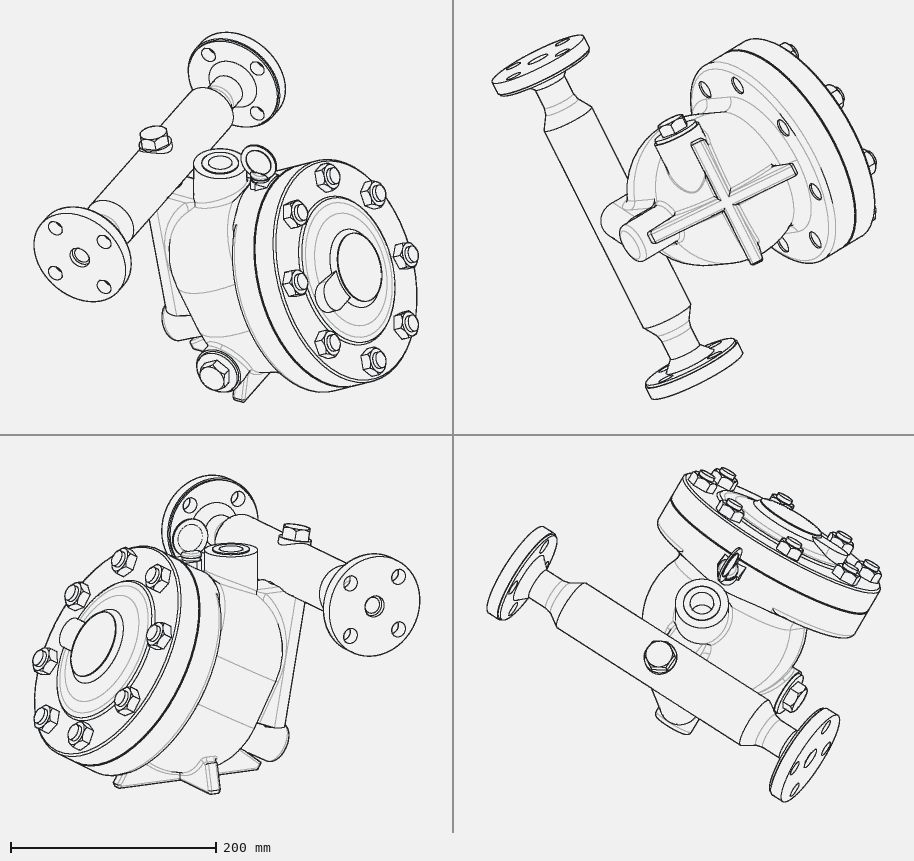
import cadquery as cq
import math


header_length = 350.0
header_dia = 52.0
pipe_dia = 32.0
pipe_end_dia = 35.5
pipe_flange_dia = 100.0
pipe_flange_thickness = 12.5
pipe_flange_step = 2.5
pipe_flange_step_dia = 97.0
hub_length = 11.0
header_half_straight = 109.0
reducer_length = 13.0
collar_length = 7.0
pipe_bolt_circle = 75.0
pipe_bolt_hole_dia = 15.0
socket_dia = 21.0
socket_depth = 5.0
pipe_bore_dia = 16.0
pipe_bore_depth = 60.0

plug_across_flats = 26.0
header_plug_seat_dia = 32.0
header_plug_seat_height = 27.5
header_plug_height = 39.0

leg_dia = 39.0
leg_tilt = 10.3
leg_length = 158.0
web_width = leg_dia
web_top_z = -15.0
web_top_fillet = 4.0
web_root_fillet = 8.5

body_tilt = 28.0
body_radius = 74.0
body_half_straight = 25.2
body_centre_x = 104.5
body_centre_z = -95.8

inlet_boss_dia = 40.0
inlet_boss_offset = 30.0
inlet_boss_reach = 118.5
inlet_boss_fillet = 4.5
inlet_root_fillet = 4.0

flange_tilt = 30.0
flange_dia = 222.0
gasket_centre_x = 181.2
gasket_centre_z = -73.2
body_flange_thickness = 30.0
body_flange_back_fillet = 5.0
gasket_thickness = 1.0
gasket_dia = 220.5
neck_fillet = 10.0
neck_root_radius = 76.0
neck_root_offset = -18.0

cover_thickness = 25.7
cover_edge_chamfer = 2.0
cover_step_radius = 74.0
cover_step_inset = 2.0
cover_step_height = 2.5
crown_foot_radius = 67.0
crown_foot_height = 3.0
crown_bend_radius = 56.0
crown_bend_height = 5.5
crown_top_radius = 39.0
crown_top_height = 11.0
cover_hub_radius = 34.0
cover_hub_height = 17.0
cover_hub_rise = 1.0
arm_width = 31.0
arm_reach = 68.0
arm_height = 14.5

stud_count = 8
stud_pitch = 360 / stud_count
stud_circle = 185.0
stud_dia = 16.0
stud_hole_dia = 18.0
stud_hole_depth = 2.0
nut_across_flats = 24.0
nut_height = 10.5
stud_protrusion = 14.5

outlet_x = 65.9
outlet_dia = 52.0
outlet_top_z = 24.0
outlet_face_dia = 36.0
outlet_face_height = 1.2
outlet_bore_dia = 23.0
outlet_bore_depth = 30.0
outlet_bottom_z = -60.0
outlet_root_fillet = 5.0

post_x = 110.0
post_dia = 20.0
post_bottom_z = -20.0
post_top_z = 27.8
post_rim_fillet = 2.0
post_groove_dia = 18.0
post_groove_bottom_z = 20.0
post_groove_top_z = 23.5
tag_dia = 38.0
tag_centre_x = 109.4
tag_centre_z = 40.9
tag_y = -3.0
tag_thickness = 2.0
tag_dish_dia = 27.0
tag_dish_depth = 0.8
post_pad_width = 25.0
post_pad_length = 14.5
post_pad_top_z = 20.6

drain_x = 102.2
drain_z = -163.0
drain_dia = 48.0
drain_reach = 76.5
drain_face_dia = 44.0
drain_face_height = 3.4
drain_plug_reach = 91.0
drain_root_fillet = 3.0

base_z = -200.0
foot_thickness = 13.0
foot_edge_fillet = 2.5
foot_tip_z = -196.0
foot_core_z = -145.0
foot_root_fillet = 3.0
base_corner = 2.0
long_foot_left_x = 37.0
long_foot_left_z = -193.0
long_foot_right_x = 193.5
long_foot_shoulder_x = 175.5
long_foot_shoulder_z = -167.0
long_foot_heel_x = 61.5
long_foot_heel_z = -172.6
cross_foot_x = 119.0
cross_foot_half_width = 68.0
cross_foot_half_top = 61.0
cross_foot_top_z = -170.0


def tilted_plane(tilt, centre_x, centre_z):
    """Plane whose normal rises `tilt` degrees from +X and whose local X runs down the slope."""
    rise = math.radians(tilt)
    return cq.Plane(
        origin=(centre_x, 0, centre_z),
        xDir=(math.sin(rise), 0, -math.cos(rise)),
        normal=(math.cos(rise), 0, math.sin(rise)),
    )


body_plane = tilted_plane(body_tilt, body_centre_x, body_centre_z)
flange_plane = tilted_plane(flange_tilt, gasket_centre_x, gasket_centre_z)
leg_plane = tilted_plane(90.0 + leg_tilt, 0, 0)


def turned(plane, profile):
    """Solid of revolution about the plane's normal from (radius, height) points."""
    section_plane = cq.Plane(origin=plane.origin, xDir=plane.xDir, normal=-plane.yDir)
    return cq.Workplane(section_plane).polyline(profile).close().revolve(360, (0, 0), (0, 1))


def disc(plane, diameter, bottom, top):
    """Cylinder about the plane's normal between two heights."""
    return cq.Workplane(plane).workplane(offset=bottom).circle(diameter / 2).extrude(top - bottom)


def hexagon(plane, across_flats, bottom, top, turn=0.0):
    """Hexagonal head with the corners of its top face turned down."""
    across_corners = across_flats / math.cos(math.radians(30))
    corner_drop = (across_corners - across_flats) / 2
    prism = (
        cq.Workplane(plane)
        .transformed(rotate=(0, 0, turn), offset=(0, 0, bottom))
        .polygon(6, across_corners)
        .extrude(top - bottom)
    )
    envelope = turned(
        plane,
        [
            (0, bottom),
            (across_corners / 2, bottom),
            (across_corners / 2, top - corner_drop),
            (across_flats / 2, top),
            (0, top),
        ],
    )
    return prism.intersect(envelope)


def make_header():
    """Header with a reducer, pipe, hub and flange at each end, and its bolt holes and sockets."""
    header = cq.Workplane("XZ").circle(header_dia / 2).extrude(header_half_straight, both=True)
    half_length = header_length / 2
    step_y = half_length - pipe_flange_thickness
    hub_y = step_y - pipe_flange_step
    pipe_y = hub_y - hub_length
    collar_y = header_half_straight + reducer_length
    for side in (-1, 1):
        end_plane = cq.Plane(origin=(0, 0, 0), xDir=(1, 0, 0), normal=(0, side, 0))
        end = turned(
            end_plane,
            [
                (0, 0),
                (header_dia / 2, 0),
                (header_dia / 2, header_half_straight),
                (pipe_end_dia / 2, collar_y),
                (pipe_dia / 2, collar_y + collar_length),
                (pipe_dia / 2, pipe_y),
                (header_dia / 2, hub_y),
                (pipe_flange_step_dia / 2, hub_y),
                (pipe_flange_step_dia / 2, step_y),
                (pipe_flange_dia / 2, step_y),
                (pipe_flange_dia / 2, half_length),
                (0, half_length),
            ],
        )
        holes = (
            cq.Workplane(end_plane)
            .workplane(offset=hub_y)
            .polarArray(pipe_bolt_circle / 2, 45, 360, 4)
            .circle(pipe_bolt_hole_dia / 2)
            .extrude(half_length - hub_y)
        )
        socket = disc(end_plane, socket_dia, half_length - socket_depth, half_length)
        bore = disc(end_plane, pipe_bore_dia, half_length - pipe_bore_depth, half_length)
        header = header.union(end.cut(holes).cut(socket).cut(bore))
    return header


def make_header_plug():
    """Round seat and hexagon plug on the leg axis, above the header."""
    seat = disc(leg_plane, header_plug_seat_dia, 0, header_plug_seat_height)
    head = hexagon(leg_plane, plug_across_flats, header_plug_seat_height, header_plug_height)
    return seat.union(head)


def make_leg():
    """Slanted pipe from the header down to the inlet boss."""
    return disc(leg_plane, leg_dia, -leg_length, 0)


def make_web():
    """Wall as wide as the leg that fills the gap between the leg and the body."""
    slope = math.radians(leg_tilt)
    foot_x = leg_length * math.sin(slope)
    foot_z = -leg_length * math.cos(slope)
    boss_start = body_plane.toWorldCoords((inlet_boss_offset, 0, 0))
    return (
        cq.Workplane("XZ")
        .polyline(
            [
                (-web_top_z * math.tan(slope), web_top_z),
                (body_centre_x, web_top_z),
                (boss_start.x, boss_start.z),
                (foot_x, foot_z),
            ]
        )
        .close()
        .extrude(web_width / 2, both=True)
        .faces(">Z")
        .edges("|X")
        .fillet(web_top_fillet)
    )


def make_body():
    """Capsule: a round bar closed by a hemisphere at each end."""
    tip = body_half_straight + body_radius
    diagonal = body_radius * math.sqrt(0.5)
    return (
        cq.Workplane(cq.Plane(origin=body_plane.origin, xDir=body_plane.xDir, normal=-body_plane.yDir))
        .moveTo(-tip, 0)
        .threePointArc((-body_half_straight - diagonal, diagonal), (-body_half_straight, body_radius))
        .lineTo(body_half_straight, body_radius)
        .threePointArc((body_half_straight + diagonal, diagonal), (tip, 0))
        .close()
        .revolve(360, (0, 0), (1, 0))
    )


def make_inlet_boss():
    """Round boss with a rounded rim, running from the body to the foot of the leg."""
    return (
        cq.Workplane(body_plane)
        .workplane(offset=-inlet_boss_reach)
        .center(inlet_boss_offset, 0)
        .circle(inlet_boss_dia / 2)
        .extrude(inlet_boss_reach)
        .faces(cq.DirectionMinMaxSelector(body_plane.zDir, False))
        .edges()
        .fillet(inlet_boss_fillet)
    )


def rooted(body, feature, radius):
    """Body with a round feature whose curved root on the body is filleted."""
    return body.union(feature).edges("%BSPLINE").fillet(radius)


def make_rooted_web(body):
    """Body with the web, both long root edges filleted up to the web's rounded top."""
    side = web_width / 2
    sides = cq.selectors.BoxSelector(
        (web_root_fillet, -side - 1, 2 * body_centre_z), (body_centre_x, side + 1, 0)
    )
    return body.union(make_web()).edges(sides).edges("%CIRCLE").fillet(web_root_fillet)


def make_neck(body):
    """Flare that blends the body onto the back of its flange, trimmed to the flange rim.

    Its oblong root runs on through the flange, so that the flare meets the rim unbroken.
    """
    back = -body_flange_thickness
    front = -gasket_thickness
    local = cq.Plane.XY()
    reach = 2 * body_radius
    root_edges = cq.selectors.BoxSelector((-reach, -reach, back - 1), (reach, reach, back + 1))
    flare = (
        cq.Workplane(body.val().moved(flange_plane.location.inverse))
        .union(disc(local, 3 * flange_dia, back, front))
        .edges(root_edges)
        .fillet(neck_fillet)
        .intersect(disc(local, flange_dia, back - 1.5 * neck_fillet, back))
    )
    root = (
        cq.Workplane(local)
        .workplane(offset=back)
        .center(neck_root_offset, 0)
        .slot2D(2 * (body_half_straight + neck_root_radius), 2 * neck_root_radius)
        .extrude(front - back)
        .intersect(disc(local, flange_dia, back, front))
    )
    return cq.Workplane(flare.union(root).val().moved(flange_plane.location))


def stud_plane(index):
    """Plane at a stud, level with the cover face; the studs straddle the slope line."""
    angle = math.radians((index + 0.5) * stud_pitch)
    x = stud_circle / 2 * math.cos(angle)
    y = stud_circle / 2 * math.sin(angle)
    origin = flange_plane.toWorldCoords((x, y, cover_thickness))
    return cq.Plane(origin=origin, xDir=flange_plane.xDir, normal=flange_plane.zDir)


def make_stud(index):
    """Nut turned with its place around the cover, and the stud end that stands out of it."""
    plane = stud_plane(index)
    nut = hexagon(plane, nut_across_flats, 0, nut_height, (index - 1) * stud_pitch)
    return nut.union(disc(plane, stud_dia, 0, stud_protrusion))


def make_stud_hole(index):
    """Shallow recess around the stud on the back of the body flange."""
    back = -cover_thickness - body_flange_thickness
    return disc(stud_plane(index), stud_hole_dia, back, back + stud_hole_depth)


def make_body_flange():
    """Body flange with a rounded back rim, its stud recesses and the gasket that lies on it."""
    flange = disc(flange_plane, flange_dia, -body_flange_thickness, -gasket_thickness / 2)
    back_face = cq.DirectionMinMaxSelector(flange_plane.zDir, False)
    flange = flange.faces(back_face).edges().fillet(body_flange_back_fillet)
    for index in range(stud_count):
        flange = flange.cut(make_stud_hole(index))
    gasket = disc(flange_plane, gasket_dia, -gasket_thickness, gasket_thickness)
    return flange.union(gasket)


def make_cover():
    """Cover disc with a raised crown, a round hub, an arm toward -Y, studs and nuts."""
    face = cover_thickness
    rim = flange_dia / 2
    cover = turned(
        flange_plane,
        [
            (0, gasket_thickness / 2),
            (rim, gasket_thickness / 2),
            (rim, face - cover_edge_chamfer),
            (rim - cover_edge_chamfer, face),
            (cover_step_radius, face),
            (cover_step_radius - cover_step_inset, face + cover_step_height),
            (crown_foot_radius, face + crown_foot_height),
            (crown_bend_radius, face + crown_bend_height),
            (crown_top_radius, face + crown_top_height),
            (cover_hub_radius, face + cover_hub_height - cover_hub_rise),
            (cover_hub_radius, face + cover_hub_height),
            (0, face + cover_hub_height),
        ],
    )
    straight = arm_reach - arm_width / 2
    arm = (
        cq.Workplane(flange_plane)
        .workplane(offset=face)
        .center(0, -straight / 2)
        .slot2D(straight + arm_width, arm_width, 90)
        .extrude(arm_height)
    )
    cover = cover.union(arm)
    for index in range(stud_count):
        cover = cover.union(make_stud(index))
    return cover


def make_outlet_boss():
    """Upright boss with a raised ring on its face."""
    plane = cq.Plane(origin=(outlet_x, 0, 0), xDir=(1, 0, 0), normal=(0, 0, 1))
    boss = disc(plane, outlet_dia, outlet_bottom_z, outlet_top_z)
    face = disc(plane, outlet_face_dia, outlet_top_z, outlet_top_z + outlet_face_height)
    return boss.union(face)


def make_outlet_bore():
    """Blind bore down through the face of the outlet boss."""
    plane = cq.Plane(origin=(outlet_x, 0, outlet_top_z), xDir=(1, 0, 0), normal=(0, 0, 1))
    return disc(plane, outlet_bore_dia, -outlet_bore_depth, outlet_face_height)


def make_tag():
    """Grooved post on the flange rim with its pad and the dished round tag."""
    plane = cq.Plane(origin=(post_x, 0, 0), xDir=(1, 0, 0), normal=(0, 0, 1))
    post = disc(plane, post_dia, post_bottom_z, post_top_z)
    post = post.faces(">Z").edges().fillet(post_rim_fillet)
    groove = disc(plane, post_dia, post_groove_bottom_z, post_groove_top_z)
    groove = groove.cut(disc(plane, post_groove_dia, post_groove_bottom_z, post_groove_top_z))
    pad = (
        cq.Workplane(plane)
        .center(post_pad_length / 2, 0)
        .rect(post_pad_length, post_pad_width)
        .extrude(post_pad_top_z)
    )
    tag_plane = cq.Plane(origin=(tag_centre_x, tag_y, tag_centre_z), xDir=(1, 0, 0), normal=(0, -1, 0))
    tag = disc(tag_plane, tag_dia, -tag_thickness / 2, tag_thickness / 2)
    dish = disc(tag_plane, tag_dish_dia, tag_thickness / 2 - tag_dish_depth, tag_thickness / 2)
    return post.cut(groove).union(pad).union(tag.cut(dish))


def make_drain():
    """Stepped drain boss toward -Y with a hexagon plug."""
    plane = cq.Plane(origin=(drain_x, 0, drain_z), xDir=(0, 0, 1), normal=(0, -1, 0))
    face_reach = drain_reach + drain_face_height
    boss = disc(plane, drain_dia, 0, drain_reach)
    face = disc(plane, drain_face_dia, drain_reach, face_reach)
    head = hexagon(plane, plug_across_flats, face_reach, drain_plug_reach)
    return boss.union(face).union(head)


def long_foot_blank():
    """Outline of the plate along X, from under the inlet boss to below the flange."""
    return (
        cq.Workplane("XZ")
        .polyline(
            [
                (long_foot_left_x - base_corner, long_foot_left_z),
                (long_foot_left_x + base_corner, base_z),
                (long_foot_right_x - base_corner, base_z),
                (long_foot_right_x, foot_tip_z),
                (long_foot_shoulder_x, long_foot_shoulder_z),
                (body_centre_x, foot_core_z),
                (long_foot_heel_x, long_foot_heel_z),
            ]
        )
        .close()
    )


def make_long_foot(body):
    """Plate along X with rounded edges and a fillet where its flat sides meet the body."""
    plate = long_foot_blank().extrude(foot_thickness / 2, both=True)
    plate = plate.faces("<Y or >Y").edges().fillet(foot_edge_fillet)
    height = foot_core_z - base_z
    slab = (
        cq.Workplane("XY", origin=(body_centre_x, 0, base_z))
        .rect(4 * body_radius, foot_thickness)
        .extrude(height)
    )
    root_limits = long_foot_blank().extrude(foot_thickness / 2 + foot_root_fillet, both=True)
    root = rooted_foot(body, slab, foot_root_fillet).cut(slab).intersect(root_limits)
    return root.union(plate)


def make_cross_foot():
    """Plate along Y with rounded edges, widening toward the base."""
    return (
        cq.Workplane("YZ", origin=(cross_foot_x, 0, 0))
        .polyline(
            [
                (base_corner - cross_foot_half_width, base_z),
                (cross_foot_half_width - base_corner, base_z),
                (cross_foot_half_width, foot_tip_z),
                (cross_foot_half_top, cross_foot_top_z),
                (0, foot_core_z),
                (-cross_foot_half_top, cross_foot_top_z),
                (-cross_foot_half_width, foot_tip_z),
            ]
        )
        .close()
        .extrude(foot_thickness / 2, both=True)
        .faces("<X or >X")
        .edges()
        .fillet(foot_edge_fillet)
    )


def rooted_foot(body, foot, radius):
    """Body with one foot plate, filleted where the flat sides of the plate meet the body."""
    joined = body.union(foot)
    below = cq.selectors.BoxSelector(
        (0, -body_radius, base_z),
        (2 * body_centre_x, body_radius, foot_core_z),
    )
    arcs = joined.edges(below).edges("%CIRCLE").vals()
    long_arcs = [arc for arc in arcs if arc.Length() > body_radius]
    return joined.newObject(long_arcs).fillet(radius)


body = make_body()
header = make_header().union(make_header_plug())
cover = make_cover().union(make_body_flange())

result = make_rooted_web(body).union(make_leg())
result = result.union(rooted(body, make_inlet_boss(), inlet_root_fillet))
result = result.union(rooted(body, make_outlet_boss(), outlet_root_fillet))
result = result.union(rooted(body, make_drain(), drain_root_fillet))
result = result.union(make_long_foot(body))
result = result.union(rooted_foot(body, make_cross_foot(), foot_root_fillet))
result = result.union(make_neck(body)).union(cover).union(make_tag()).union(header)
result = result.cut(make_outlet_bore())